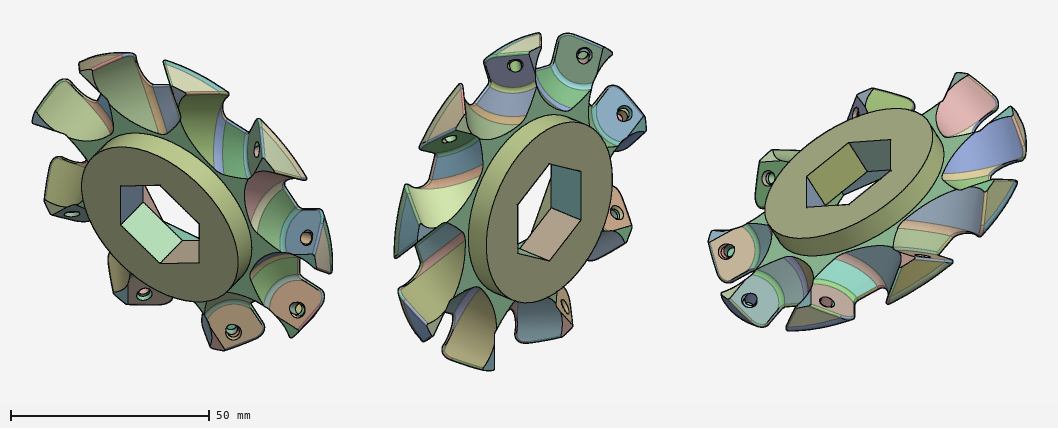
import cadquery as cq
import math

disc_diameter = 88.0
disc_thickness = 9.0
rim_round = 3.0
boss_diameter = 48.0
boss_height = 6.1

bore_across_flats = 24.0
pocket_across_flats = 32.5
pocket_depth = 5.0

tooth_count = 9
tooth_pitch = 360 / tooth_count
first_tooth_turn = 20
seat_x = 11.0
seat_depth = 3.0
seat_z = 38.5

cutter_end_radius = 8.35
cutter_radius = 14.0
cutter_length = 39.6
seat_corner_round = 2.0
cone_corner_round = 3.0

screw_bore_diameter = 3.0
screw_bore_depth = 5.0
screw_bore_offset = 0.8
countersink_diameter = 4.0
countersink_end_diameter = 3.0
countersink_depth = 1.0

edge_round = 0.5

tolerance = 0.01

seat_plane = cq.Plane(origin=(seat_x, seat_depth, seat_z), xDir=(0, 0, 1), normal=(-1, -1, 0))


def cut_at_every_tooth(body, tool):
    """Cut the body with a tool repeated around the Y axis, once per tooth."""
    for i in range(tooth_count):
        turn = first_tooth_turn + i * tooth_pitch
        body = body.cut(tool.rotate((0, 0, 0), (0, 1, 0), turn))
    return body


def rounded_disc():
    disc = cq.Workplane("XZ").circle(disc_diameter / 2).extrude(-disc_thickness)
    return disc.faces(">Y").edges().fillet(rim_round)


def gullet_cutter():
    """Turned cutter, built along Z and then set on the seat plane."""
    cone_height = cutter_radius - cutter_end_radius
    profile = [
        (0, 0),
        (cutter_end_radius, 0),
        (cutter_radius, cone_height),
        (cutter_radius, cutter_length),
        (0, cutter_length),
    ]
    cutter = cq.Workplane("XZ").polyline(profile).close().revolve(360, (0, 0), (0, 1))
    cutter = cutter.faces("%CONE").edges(">Z").fillet(cone_corner_round)
    cutter = cutter.faces("<Z").edges().fillet(seat_corner_round)
    return cq.Workplane(cutter.val().moved(cq.Location(seat_plane)))


def on_disc_skin(point):
    """True on the rim, the rim round or the back face of the disc."""
    beyond_radius = math.hypot(point.x, point.z) - (disc_diameter / 2 - rim_round)
    beyond_depth = point.y - (disc_thickness - rim_round)
    distance = math.hypot(max(beyond_radius, 0), max(beyond_depth, 0))
    return abs(distance - rim_round) < tolerance


def is_gullet_edge(edge):
    """True for an edge where a gullet breaks out through the rim or the back face."""
    points = [edge.positionAt(t) for t in (0.1, 0.3, 0.5, 0.7, 0.9)]
    radii = [math.hypot(p.x, p.z) for p in points]
    depths = [p.y for p in points]
    rings_disc = max(radii) - min(radii) < tolerance and max(depths) - min(depths) < tolerance
    return all(on_disc_skin(p) for p in points) and not rings_disc


def round_gullet_edges(body):
    return body.newObject([e for e in body.edges().vals() if is_gullet_edge(e)]).fillet(edge_round)


def screw_hole():
    seat = cq.Workplane(seat_plane)
    bore = seat.center(-screw_bore_offset, 0).circle(screw_bore_diameter / 2).extrude(-screw_bore_depth)
    countersink = (
        seat.circle(countersink_diameter / 2)
        .workplane(offset=-countersink_depth)
        .circle(countersink_end_diameter / 2)
        .loft()
    )
    return bore.union(countersink)


def hexagon(workplane, across_flats):
    return workplane.polygon(6, across_flats / math.cos(math.pi / 6))


body = cut_at_every_tooth(rounded_disc(), gullet_cutter())
body = round_gullet_edges(body)

body = cut_at_every_tooth(body, screw_hole())

boss = cq.Workplane("XZ").circle(boss_diameter / 2).extrude(boss_height)
body = body.union(boss)

back_plane = cq.Workplane("XZ", origin=(0, disc_thickness, 0))
bore_plane = back_plane.transformed(rotate=(0, 0, 30))
body = body.cut(hexagon(bore_plane, bore_across_flats).extrude(disc_thickness + boss_height))
body = body.cut(hexagon(back_plane, pocket_across_flats).extrude(pocket_depth))

result = body